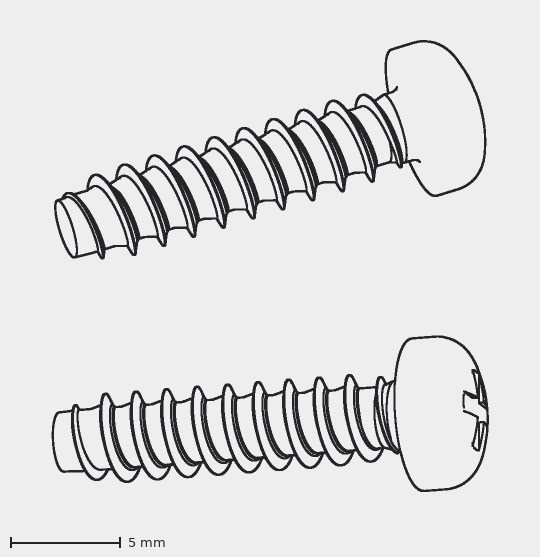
import cadquery as cq
import math

TOTAL_LENGTH = 20.03

HEAD_RADIUS = 3.495
DOME_APEX_Y = 3.08
HEAD_SIDE_HEIGHT = 1.12
HEAD_CORNER_RADIUS = 1.52
HEAD_RIM_FILLET = 0.06

CORNER_CENTRE_X = HEAD_RADIUS - HEAD_CORNER_RADIUS
CORNER_DROP = DOME_APEX_Y - HEAD_SIDE_HEIGHT
DOME_RADIUS = (CORNER_CENTRE_X**2 + CORNER_DROP**2 - HEAD_CORNER_RADIUS**2) / (
    2 * (CORNER_DROP - HEAD_CORNER_RADIUS)
)
DOME_CENTRE_Y = DOME_APEX_Y - DOME_RADIUS

RECESS_WIDTH = 0.92
RECESS_FLOOR_Y = 2.8

HEAD_TOP_Y = DOME_CENTRE_Y + math.sqrt(DOME_RADIUS**2 - RECESS_WIDTH**2 / 2)
TIP_Y = HEAD_TOP_Y - TOTAL_LENGTH

NECK_RADIUS = 1.62
NECK_FILLET = 0.56
NECK_END = 0.95
CORE_START = 1.6
CORE_RADIUS = 1.4
TIP_RADIUS = 1.36
TIP_TAPER_LENGTH = 0.85
TIP_DIMPLE_DEPTH = 0.15

THREAD_START = 0.95
THREAD_LENGTH = 15.66
RUN_IN_TURNS = 1.25
FULL_TURNS = 8.25
RUN_OUT_TURNS = 1.25
RUN_IN_SINK = 0.3
RUN_OUT_SINK = 0.55
THREAD_START_ANGLE = -90.0
PITCH = THREAD_LENGTH / (RUN_IN_TURNS + FULL_TURNS + RUN_OUT_TURNS)

CREST_RADIUS = 2.05
CREST_HALF_WIDTH = 0.02
BURIED_RADIUS = 1.36
THREAD_PROFILE = [
    (BURIED_RADIUS, -0.55),
    (1.42, -0.38),
    (1.52, -0.28),
    (CREST_RADIUS, -CREST_HALF_WIDTH),
    (CREST_RADIUS, CREST_HALF_WIDTH),
    (1.56, 0.18),
    (BURIED_RADIUS, 0.88),
]

SCREW_FRAME = cq.Plane(origin=(0, 0, 0), xDir=(1, 0, 0), normal=(0, -1, 0))


def make_body():
    """Head, neck and core as one revolved outline, given as (radius, Y)."""

    def dome_point(angle):
        return DOME_RADIUS * math.sin(angle), DOME_CENTRE_Y + DOME_RADIUS * math.cos(angle)

    joint_angle = math.atan2(CORNER_CENTRE_X, HEAD_SIDE_HEIGHT - DOME_CENTRE_Y)
    corner_mid_angle = (joint_angle + math.pi / 2) / 2
    corner_mid = (
        CORNER_CENTRE_X + HEAD_CORNER_RADIUS * math.sin(corner_mid_angle),
        HEAD_SIDE_HEIGHT + HEAD_CORNER_RADIUS * math.cos(corner_mid_angle),
    )
    outline = (
        cq.Workplane("XY")
        .moveTo(0, DOME_APEX_Y)
        .threePointArc(dome_point(joint_angle / 2), dome_point(joint_angle))
        .threePointArc(corner_mid, (HEAD_RADIUS, HEAD_SIDE_HEIGHT))
        .lineTo(HEAD_RADIUS, HEAD_RIM_FILLET)
        .radiusArc((HEAD_RADIUS - HEAD_RIM_FILLET, 0), HEAD_RIM_FILLET)
        .lineTo(NECK_RADIUS + NECK_FILLET, 0)
        .radiusArc((NECK_RADIUS, -NECK_FILLET), -NECK_FILLET)
        .lineTo(NECK_RADIUS, -NECK_END)
        .lineTo(CORE_RADIUS, -CORE_START)
        .lineTo(CORE_RADIUS, TIP_Y + TIP_TAPER_LENGTH)
        .lineTo(TIP_RADIUS, TIP_Y)
        .lineTo(0, TIP_Y)
        .close()
    )
    return outline.revolve(360, (0, 0, 0), (0, 1, 0))


def make_cross_recess():
    """Two shallow crossing slots through the top of the dome."""
    slot = (
        cq.Workplane("XY", origin=(0, RECESS_FLOOR_Y, 0))
        .box(2 * HEAD_RADIUS, DOME_APEX_Y, RECESS_WIDTH, centered=(True, False, True))
    )
    return slot.union(slot.rotate((0, 0, 0), (0, 1, 0), 90))


def make_helix(start_radius, end_radius, start_depth, turns, start_turn):
    """Helix edge in the screw frame, conical where the radius changes."""
    cone_angle = math.atan2(end_radius - start_radius, turns * PITCH)
    slant_pitch = PITCH / math.cos(cone_angle)
    if cone_angle:
        helix = cq.Wire.makeHelix(
            slant_pitch, turns * slant_pitch, start_radius, angle=math.degrees(cone_angle)
        )
    else:
        helix = cq.Wire.makeHelix(PITCH, turns * PITCH, start_radius)
    turned = helix.rotate(
        cq.Vector(0, 0, 0), cq.Vector(0, 0, 1), THREAD_START_ANGLE + 360 * start_turn
    )
    return turned.translate(cq.Vector(0, 0, start_depth)).Edges()[0]


def thread_flanks(start_sink, end_sink, turns, start_turn):
    """Ruled faces traced by the profile sides over one stretch of the thread."""
    crest_depth = THREAD_START + start_turn * PITCH
    edges = [
        make_helix(radius - start_sink, radius - end_sink, crest_depth + offset, turns, start_turn)
        for radius, offset in THREAD_PROFILE
    ]
    return [
        cq.Face.makeRuledSurface(edge, next_edge)
        for edge, next_edge in zip(edges, edges[1:] + edges[:1])
    ]


def thread_end(sink, turn):
    """Flat face closing the thread in the half plane reached after the given turns."""
    angle = math.radians(THREAD_START_ANGLE + 360 * turn)
    depth = THREAD_START + turn * PITCH
    points = [
        cq.Vector(
            (radius - sink) * math.cos(angle), (radius - sink) * math.sin(angle), depth + offset
        )
        for radius, offset in THREAD_PROFILE
    ]
    return cq.Face.makeFromWires(cq.Wire.makePolygon(points, close=True))


def make_thread():
    """Thread that rises from the neck, runs at full height and sinks away near the tip."""
    full_end = RUN_IN_TURNS + FULL_TURNS
    faces = [thread_end(RUN_IN_SINK, 0), thread_end(RUN_OUT_SINK, full_end + RUN_OUT_TURNS)]
    faces += thread_flanks(RUN_IN_SINK, 0, RUN_IN_TURNS, 0)
    faces += thread_flanks(0, 0, FULL_TURNS, RUN_IN_TURNS)
    faces += thread_flanks(0, RUN_OUT_SINK, RUN_OUT_TURNS, full_end)
    thread = cq.Solid.makeSolid(cq.Shell.makeShell(faces))
    return cq.Workplane("XY").newObject([thread.moved(cq.Location(SCREW_FRAME))])


def make_tip_cutter():
    """Space beyond the tip, with a shallow cone reaching into the end face."""
    outline = (
        cq.Workplane("XY")
        .moveTo(0, TIP_Y + TIP_DIMPLE_DEPTH)
        .lineTo(TIP_RADIUS, TIP_Y)
        .lineTo(HEAD_RADIUS, TIP_Y)
        .lineTo(HEAD_RADIUS, TIP_Y - PITCH)
        .lineTo(0, TIP_Y - PITCH)
        .close()
    )
    return outline.revolve(360, (0, 0, 0), (0, 1, 0))


result = make_body().union(make_thread()).cut(make_cross_recess()).cut(make_tip_cutter())